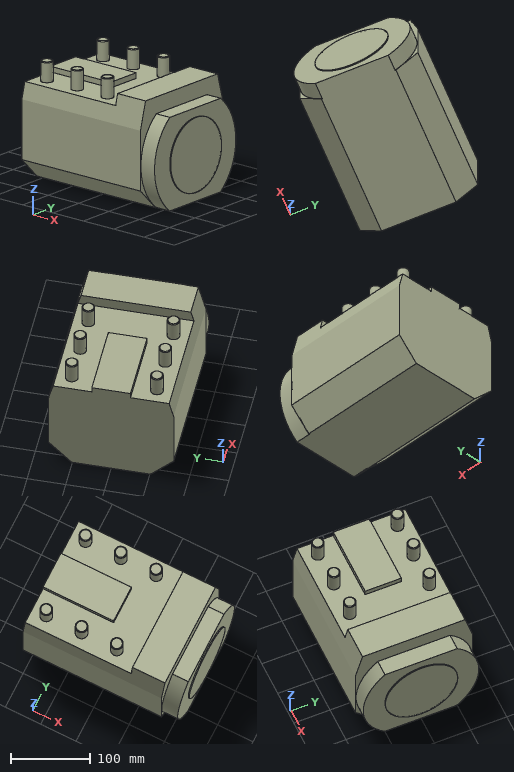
import cadquery as cq

total_length = 220.0
housing_length = 196.0
housing_width = 162.0
bottom_chamfer = 30.0
shoulder_height = 110.0
ridge_height = 147.5
ridge_width = 142.0

deck_length = 150.0
deck_height = 132.5

pad_length = 100.0
pad_width = 50.0
pad_height = 140.0

pin_diameter = 16.0
pin_top = 160.0
pin_edge_chamfer = 1.0
first_pin_x = 20.0
pin_pitch = 50.0
pins_per_row = 3
pin_row_spacing = 110.0

flange_diameter = 160.0
flange_height = 125.0
disc_diameter = 100.0
disc_thickness = 1.5
axis_height = flange_height / 2
flange_end = total_length - disc_thickness


def box_from_front(length, width, bottom, top):
    """Box starting at X = 0 and centred on Y."""
    return (
        cq.Workplane("XY")
        .workplane(offset=bottom)
        .box(length, width, top - bottom, centered=(False, True, False))
    )


def disc_along_x(diameter, start, end):
    """Cylinder on the flange axis."""
    return (
        cq.Workplane("YZ", origin=(start, 0, axis_height))
        .circle(diameter / 2)
        .extrude(end - start)
    )


def make_housing():
    half_width = housing_width / 2
    prism = (
        cq.Workplane("YZ")
        .moveTo(half_width - bottom_chamfer, 0)
        .lineTo(half_width, bottom_chamfer)
        .lineTo(half_width, shoulder_height)
        .lineTo(ridge_width / 2, ridge_height)
        .lineTo(-ridge_width / 2, ridge_height)
        .lineTo(-half_width, shoulder_height)
        .lineTo(-half_width, bottom_chamfer)
        .lineTo(bottom_chamfer - half_width, 0)
        .close()
        .extrude(housing_length)
    )
    return prism.cut(box_from_front(deck_length, housing_width, deck_height, ridge_height))


def make_pins():
    centres = [
        (first_pin_x + index * pin_pitch, side * pin_row_spacing / 2)
        for index in range(pins_per_row)
        for side in (-1, 1)
    ]
    return (
        cq.Workplane("XY")
        .workplane(offset=deck_height)
        .pushPoints(centres)
        .circle(pin_diameter / 2)
        .extrude(pin_top - deck_height)
        .faces(">Z")
        .chamfer(pin_edge_chamfer)
    )


def make_flange():
    between_flats = box_from_front(total_length, flange_diameter, 0, flange_height)
    flange = disc_along_x(flange_diameter, housing_length, flange_end).intersect(between_flats)
    return flange.union(disc_along_x(disc_diameter, flange_end, total_length))


pad = box_from_front(pad_length, pad_width, deck_height, pad_height)
result = make_housing().union(pad).union(make_pins()).union(make_flange())